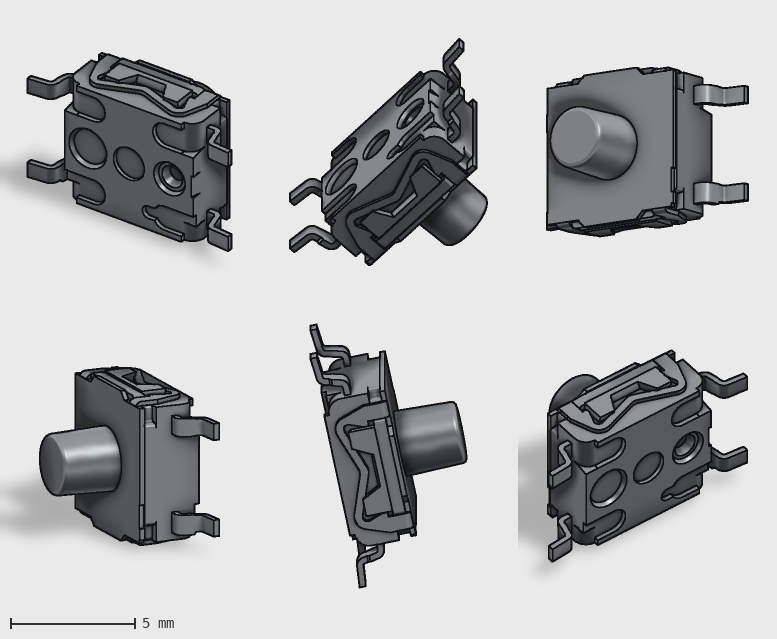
import cadquery as cq
import math


BODY_HALF_X = 3.15
BODY_HALF_Z = 2.81
BODY_DEPTH = 1.9

FRAME_END = 2.4
FRAME_NOTCH_X = 2.79
FRAME_NOTCH_Z = 2.11
FRAME_RADIUS = 0.15
FRAME_RIB_HALF_X = 2.05
FRAME_RIB_HALF_Z = 3.07

COVER_HALF_X = 3.12
COVER_HALF_Z = 2.81
COVER_END = 2.61
TONGUE_HALF_Z = 3.12
TONGUE_TIP_HALF_X = 1.29
TONGUE_ROOT_HALF_X = 1.62
COVER_NOTCH_DEPTH = 0.09
COVER_NOTCH_TOP = -1.22
COVER_NOTCH_BOTTOM = -2.2
COVER_CORNER_Z = -2.68

STRAP_THICKNESS = 0.19
STRAP_HALF_X = 2.71
STRAP_WINDOW_HALF_X = 2.05
STRAP_BEND_RADIUS = 0.27
STRAP_SLOPE = 0.355
STRAP_OUTER_PEAK = 0.96
STRAP_INNER_PEAK = 1.32
STRAP_PEAK_RADIUS = 0.44
STRAP_LEG_END = 1.64
STRAP_HEEL_X = 2.19
STRAP_HEEL_RADIUS = 0.52
WINDOW_STEP_Y = 1.69
WINDOW_NECK_HALF_X = 1.85
WINDOW_NECK_END = 1.47
WINDOW_HEEL_X = 2.21
WINDOW_HEEL_RADIUS = 0.2

LATCH_HALF_X = 1.8
LATCH_HALF_Z = 3.15
LATCH_START = 0.83
LATCH_NOTCH_END = 1.64
LATCH_UNDERCUT = 0.1
LATCH_NOTCH_ROOT_HALF_X = 0.68
LATCH_NOTCH_MOUTH_HALF_X = 1.09

BUTTON_BASE_RADIUS = 1.34
BUTTON_TIP_RADIUS = 1.26
BUTTON_END = 5.1
BUTTON_FILLET = 0.19

RECESS_DEPTH = 0.2
POCKET_Z = 1.97
POCKET_RADIUS = 0.57
POCKET_END_X = 1.17
POCKET_TAPER = 7.0
KEY_RADIUS = 0.29
KEY_END_X = 0.66
CORNER_START_X = 2.56
CORNER_DRAFT = 0.15
MARK_DIAMETER = 1.5
LEFT_RECESS_X = -2.01
LEFT_RECESS_DIAMETERS = (1.83, 1.59)
RIGHT_RECESS_X = 1.98
RIGHT_RECESS_DIAMETERS = (1.53, 1.32)
RIGHT_HOLE_DIAMETERS = (1.0, 0.73)
RIGHT_HOLE_DEPTH = 0.59
EDGE_NOTCH_HALF_Z = 0.5
EDGE_NOTCH_WIDTH = 0.11
EDGE_NOTCH_DEPTH = 0.44

LEAD_TIP_X = 4.905
LEAD_ROOT_X = 2.94
LEAD_SHOULDER_OUTER_X = 3.76
LEAD_SHOULDER_INNER_X = 3.55
LEAD_ANKLE_INNER = (-3.97, 0.255)
LEAD_ANKLE_OUTER = (-3.77, 0.01)
LEAD_INNER_RADIUS = 0.12
LEAD_OUTER_RADIUS = 0.36
LEAD_STEP_TOP = 0.57
LEAD_STEP_BOTTOM = 0.47
LEAD_Y_MIN = -0.09
LEAD_Y_MAX = 1.22
LEAD_THICKNESS = 0.255
UPPER_LEAD_WIDE = (1.63, 2.37)
UPPER_LEAD_NARROW = (1.66, 2.34)
LOWER_LEAD_WIDE = (-2.47, -1.64)
LOWER_LEAD_NARROW = (-2.35, -1.67)


def box(x_range, y_range, z_range):
    """Block between the given limits on each axis."""
    lengths = [high - low for low, high in (x_range, y_range, z_range)]
    corner = (x_range[0], y_range[0], z_range[0])
    return cq.Workplane("XY").box(*lengths, centered=False).translate(corner)


def on_y(y):
    """Sketch plane facing -Y at height y, with local axes X and Z."""
    return cq.Workplane("XZ", origin=(0, y, 0))


def both_x(shape):
    """The shape together with its mirror image across X = 0."""
    return shape.union(shape.mirror("YZ"))


def both_z(shape):
    """The shape together with its mirror image across Z = 0."""
    return shape.union(shape.mirror("XY"))


def rounded_outline(plane, corners):
    """Closed outline through (u, v, radius) corners, each rounded by a tangent arc."""
    stretches = []
    for index, (u, v, radius) in enumerate(corners):
        corner = cq.Vector(u, v)
        before = (cq.Vector(*corners[index - 1][:2]) - corner).normalized()
        after = (cq.Vector(*corners[(index + 1) % len(corners)][:2]) - corner).normalized()
        if radius == 0:
            stretches.append([corner])
            continue
        half_angle = before.getAngle(after) / 2
        reach = radius / math.tan(half_angle)
        sagitta = radius / math.sin(half_angle) - radius
        middle = corner + (before + after).normalized() * sagitta
        stretches.append([corner + before * reach, middle, corner + after * reach])
    outline = plane.moveTo(*stretches[0][-1].toTuple()[:2])
    for stretch in stretches[1:] + stretches[:1]:
        outline = outline.lineTo(*stretch[0].toTuple()[:2])
        if len(stretch) > 1:
            outline = outline.threePointArc(*[point.toTuple()[:2] for point in stretch[1:]])
    return outline.wire()


def mirrored_corners(left_half):
    """Corners of an outline that is symmetric about u = 0, without repeating a corner on u = 0."""
    right_half = [(-u, v, radius) for u, v, radius in reversed(left_half) if u != 0]
    return left_half + right_half


def tapered_recess(x, depth, diameters, start=0):
    """Round cutter narrowing from the first diameter to the second over its depth."""
    mouth, floor = diameters
    return on_y(start).center(x, 0).circle(mouth / 2).workplane(offset=-depth).circle(floor / 2).loft()


def pocket(inner_end_x, radius, outer_end_x):
    """Tapered slot cutter at the lower right, from a round inner end to a flat outer end."""
    centre_x = inner_end_x + radius
    slot = (
        on_y(0)
        .center(0, -POCKET_Z)
        .moveTo(BODY_HALF_X + radius, radius)
        .lineTo(centre_x, radius)
        .threePointArc((inner_end_x, 0), (centre_x, -radius))
        .lineTo(BODY_HALF_X + radius, -radius)
        .close()
        .extrude(-RECESS_DEPTH, taper=POCKET_TAPER)
    )
    return slot.intersect(box((0, outer_end_x), (0, RECESS_DEPTH), (-BODY_HALF_Z, 0)))


def corner_relief(z_start):
    """Cutter at the upper right that rounds the bottom edge from z_start to the end wall."""
    radius = BODY_HALF_X - CORNER_START_X
    arc_end = RECESS_DEPTH + radius
    bulge = radius * math.sqrt(0.5)
    return (
        cq.Workplane("XY", origin=(0, 0, z_start))
        .moveTo(CORNER_START_X, 0)
        .lineTo(CORNER_START_X, RECESS_DEPTH)
        .threePointArc((CORNER_START_X + bulge, arc_end - bulge), (BODY_HALF_X, arc_end))
        .lineTo(BODY_HALF_X, 0)
        .close()
        .extrude(BODY_HALF_Z - z_start)
    )


def drafted_corner_relief():
    """Upper corner relief whose inner wall leans outward with height."""
    z_start = POCKET_Z - POCKET_RADIUS
    arc_end = RECESS_DEPTH + BODY_HALF_X - CORNER_START_X
    wedge = (
        cq.Workplane("YZ")
        .polyline([(0, z_start), (arc_end, z_start), (arc_end, z_start + CORNER_DRAFT)])
        .close()
        .extrude(BODY_HALF_X)
    )
    return corner_relief(z_start).cut(wedge)


def make_body():
    body = box((-BODY_HALF_X, BODY_HALF_X), (0, BODY_DEPTH), (-BODY_HALF_Z, BODY_HALF_Z))

    lower_reliefs = both_x(corner_relief(POCKET_Z).mirror("XY"))
    body = body.cut(both_x(drafted_corner_relief())).cut(lower_reliefs)
    lower_pocket = pocket(POCKET_END_X, POCKET_RADIUS, BODY_HALF_X)
    upper_pocket = pocket(POCKET_END_X, POCKET_RADIUS, CORNER_START_X).mirror("XY")
    body = body.cut(both_x(lower_pocket)).cut(both_x(upper_pocket))
    body = body.cut(pocket(KEY_END_X, KEY_RADIUS, CORNER_START_X))

    body = body.cut(on_y(0).circle(MARK_DIAMETER / 2).extrude(-RECESS_DEPTH))
    body = body.cut(tapered_recess(LEFT_RECESS_X, RECESS_DEPTH, LEFT_RECESS_DIAMETERS))
    body = body.cut(tapered_recess(RIGHT_RECESS_X, RECESS_DEPTH, RIGHT_RECESS_DIAMETERS))
    hole_length = RIGHT_HOLE_DEPTH - RECESS_DEPTH
    body = body.cut(tapered_recess(RIGHT_RECESS_X, hole_length, RIGHT_HOLE_DIAMETERS, RECESS_DEPTH))

    edge_notch = (
        cq.Workplane("XY", origin=(BODY_HALF_X, 0, -EDGE_NOTCH_HALF_Z))
        .polyline([(0, 0), (-EDGE_NOTCH_WIDTH, 0), (0, EDGE_NOTCH_DEPTH)])
        .close()
        .extrude(2 * EDGE_NOTCH_HALF_Z)
    )
    return body.cut(edge_notch)


def make_frame():
    upper_left = [
        (-BODY_HALF_X, FRAME_NOTCH_Z, FRAME_RADIUS),
        (-FRAME_NOTCH_X, FRAME_NOTCH_Z, FRAME_RADIUS),
        (-FRAME_NOTCH_X, BODY_HALF_Z, FRAME_RADIUS),
        (-FRAME_RIB_HALF_X, BODY_HALF_Z, 0),
        (-FRAME_RIB_HALF_X, FRAME_RIB_HALF_Z, FRAME_RADIUS),
    ]
    upper = mirrored_corners(upper_left)
    lower = [(-x, -z, radius) for x, z, radius in upper]
    return rounded_outline(on_y(BODY_DEPTH), upper + lower).extrude(BODY_DEPTH - FRAME_END)


def make_cover():
    y_range = (FRAME_END, COVER_END)
    plate = box((-COVER_HALF_X, COVER_HALF_X), y_range, (-COVER_HALF_Z, COVER_HALF_Z))
    tongues = (
        on_y(FRAME_END)
        .polyline(
            [
                (-TONGUE_ROOT_HALF_X, COVER_HALF_Z),
                (-TONGUE_TIP_HALF_X, TONGUE_HALF_Z),
                (TONGUE_TIP_HALF_X, TONGUE_HALF_Z),
                (TONGUE_ROOT_HALF_X, COVER_HALF_Z),
                (TONGUE_ROOT_HALF_X, -COVER_HALF_Z),
                (TONGUE_TIP_HALF_X, -TONGUE_HALF_Z),
                (-TONGUE_TIP_HALF_X, -TONGUE_HALF_Z),
                (-TONGUE_ROOT_HALF_X, -COVER_HALF_Z),
            ]
        )
        .close()
        .extrude(FRAME_END - COVER_END)
    )
    notch_x = (-COVER_HALF_X, -COVER_HALF_X + COVER_NOTCH_DEPTH)
    side_notch = box(notch_x, y_range, (COVER_NOTCH_BOTTOM, COVER_NOTCH_TOP))
    corner_notch = box(notch_x, y_range, (-COVER_HALF_Z, COVER_CORNER_Z))
    return plate.union(tongues).cut(side_notch).cut(corner_notch)


def make_strap():
    """M-shaped strap on the +Z side, rounded over where it folds out of the cover."""
    outer = mirrored_corners(
        [
            (-STRAP_HALF_X, COVER_END, 0),
            (-STRAP_HALF_X, STRAP_LEG_END, 0),
            (-STRAP_HEEL_X, STRAP_OUTER_PEAK - STRAP_SLOPE * STRAP_HEEL_X, STRAP_HEEL_RADIUS),
            (0, STRAP_OUTER_PEAK, STRAP_PEAK_RADIUS),
        ]
    )
    window = mirrored_corners(
        [
            (-STRAP_WINDOW_HALF_X, COVER_END, 0),
            (-STRAP_WINDOW_HALF_X, WINDOW_STEP_Y, 0),
            (-WINDOW_NECK_HALF_X, WINDOW_STEP_Y, 0),
            (-WINDOW_NECK_HALF_X, WINDOW_NECK_END, 0),
            (-WINDOW_HEEL_X, STRAP_INNER_PEAK - STRAP_SLOPE * WINDOW_HEEL_X, WINDOW_HEEL_RADIUS),
            (0, STRAP_INNER_PEAK, STRAP_PEAK_RADIUS),
        ]
    )
    plane = cq.Workplane("XY", origin=(0, 0, BODY_HALF_Z))
    strap = rounded_outline(plane, outer).extrude(STRAP_THICKNESS)
    strap = strap.cut(rounded_outline(plane, window).extrude(STRAP_THICKNESS))

    bend_start_y = COVER_END - STRAP_BEND_RADIUS
    bend_axis_z = BODY_HALF_Z + STRAP_THICKNESS - STRAP_BEND_RADIUS
    bend_length = STRAP_HALF_X - STRAP_WINDOW_HALF_X
    fold_zone = box((-STRAP_HALF_X, STRAP_HALF_X), (bend_start_y, COVER_END), (BODY_HALF_Z, LATCH_HALF_Z))
    bend = (
        cq.Workplane("YZ", origin=(-STRAP_HALF_X, bend_start_y, bend_axis_z))
        .hLine(STRAP_BEND_RADIUS)
        .radiusArc((0, STRAP_BEND_RADIUS), -STRAP_BEND_RADIUS)
        .close()
        .extrude(bend_length)
    )
    return strap.cut(fold_zone).union(both_x(bend))


def make_latch():
    """Block on the +Z side, undercut at its lower face and at the end wall of its notch."""
    latch = (
        cq.Workplane("YZ", origin=(-LATCH_HALF_X, 0, 0))
        .polyline(
            [
                (LATCH_START + LATCH_UNDERCUT, BODY_HALF_Z),
                (LATCH_START, LATCH_HALF_Z),
                (BODY_DEPTH, LATCH_HALF_Z),
                (BODY_DEPTH, BODY_HALF_Z),
            ]
        )
        .close()
        .extrude(2 * LATCH_HALF_X)
    )
    notch_flare = LATCH_NOTCH_MOUTH_HALF_X - LATCH_NOTCH_ROOT_HALF_X
    slope = notch_flare / (LATCH_NOTCH_END - LATCH_START)

    def section(plane, end_y):
        end_half_x = LATCH_NOTCH_MOUTH_HALF_X - slope * (end_y - LATCH_START)
        return plane.polyline(
            [
                (-LATCH_NOTCH_MOUTH_HALF_X, LATCH_START),
                (-end_half_x, end_y),
                (end_half_x, end_y),
                (LATCH_NOTCH_MOUTH_HALF_X, LATCH_START),
            ]
        ).close()

    floor = section(cq.Workplane("XY", origin=(0, 0, BODY_HALF_Z)), LATCH_NOTCH_END - LATCH_UNDERCUT)
    notch = section(floor.workplane(offset=LATCH_HALF_Z - BODY_HALF_Z), LATCH_NOTCH_END).loft(ruled=True)
    return latch.cut(notch)


def make_button():
    return (
        cq.Workplane("XZ", origin=(0, FRAME_END, 0))
        .circle(BUTTON_BASE_RADIUS)
        .workplane(offset=FRAME_END - BUTTON_END)
        .circle(BUTTON_TIP_RADIUS)
        .loft()
        .faces(">Y")
        .edges()
        .fillet(BUTTON_FILLET)
    )


def make_lead(wide, narrow):
    """Gull-wing lead on the -X side, stepping from the wide Z range to the narrow one."""
    profile = [
        (-LEAD_ROOT_X, LEAD_Y_MAX, 0),
        (-LEAD_SHOULDER_OUTER_X, LEAD_Y_MAX, LEAD_OUTER_RADIUS),
        (*LEAD_ANKLE_INNER, LEAD_INNER_RADIUS),
        (-LEAD_TIP_X, LEAD_Y_MIN + LEAD_THICKNESS, 0),
        (-LEAD_TIP_X, LEAD_Y_MIN, 0),
        (*LEAD_ANKLE_OUTER, LEAD_OUTER_RADIUS),
        (-LEAD_SHOULDER_INNER_X, LEAD_Y_MAX - LEAD_THICKNESS, LEAD_INNER_RADIUS),
        (-LEAD_ROOT_X, LEAD_Y_MAX - LEAD_THICKNESS, 0),
    ]
    plane = cq.Workplane("XY", origin=(0, 0, wide[0]))
    bent_strip = rounded_outline(plane, profile).extrude(wide[1] - wide[0])
    widths = (
        cq.Workplane("YZ", origin=(-LEAD_TIP_X, 0, 0))
        .polyline(
            [
                (LEAD_Y_MIN, narrow[0]),
                (LEAD_STEP_BOTTOM, narrow[0]),
                (LEAD_STEP_TOP, wide[0]),
                (LEAD_Y_MAX, wide[0]),
                (LEAD_Y_MAX, wide[1]),
                (LEAD_STEP_TOP, wide[1]),
                (LEAD_STEP_BOTTOM, narrow[1]),
                (LEAD_Y_MIN, narrow[1]),
            ]
        )
        .close()
        .extrude(LEAD_TIP_X - LEAD_ROOT_X)
    )
    return bent_strip.intersect(widths)


result = make_body().union(make_frame()).union(make_cover()).union(make_button())
result = result.union(both_z(make_strap())).union(both_z(make_latch()))
for wide_range, narrow_range in (
    (UPPER_LEAD_WIDE, UPPER_LEAD_NARROW),
    (LOWER_LEAD_WIDE, LOWER_LEAD_NARROW),
):
    result = result.union(both_x(make_lead(wide_range, narrow_range)))